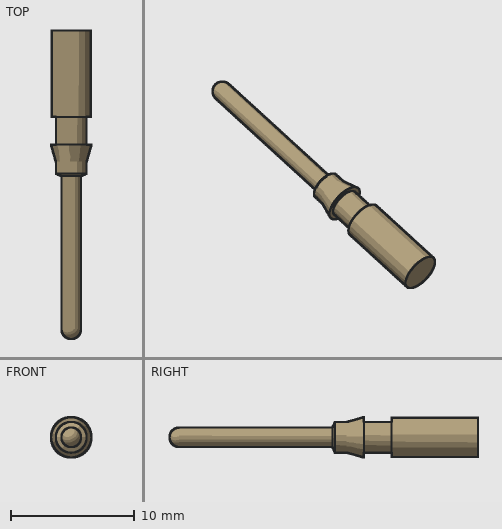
import cadquery as cq

total_length = 25.0

barrel_diameter = 3.2
neck_diameter = 2.5
collar_diameter = 3.3
pin_diameter = 1.6

barrel_length = 7.0
neck_length = 2.25
collar_taper_length = 1.4
shoulder_length = 1.15
nose_cone_length = 0.2

barrel_front = total_length - barrel_length
collar_back = barrel_front - neck_length
taper_front = collar_back - collar_taper_length
shoulder_front = taper_front - shoulder_length

barrel_radius = barrel_diameter / 2
neck_radius = neck_diameter / 2
collar_radius = collar_diameter / 2
pin_radius = pin_diameter / 2

arc_mid_x = pin_radius * 0.5**0.5
arc_mid_y = pin_radius - arc_mid_x

half_outline = (
    cq.Workplane("XY")
    .moveTo(0, 0)
    .threePointArc((arc_mid_x, arc_mid_y), (pin_radius, pin_radius))
    .lineTo(pin_radius, shoulder_front)
    .lineTo(neck_radius, shoulder_front + nose_cone_length)
    .lineTo(neck_radius, taper_front)
    .lineTo(collar_radius, collar_back)
    .lineTo(neck_radius, collar_back)
    .lineTo(neck_radius, barrel_front)
    .lineTo(barrel_radius, barrel_front)
    .lineTo(barrel_radius, total_length)
    .lineTo(0, total_length)
    .close()
)

result = half_outline.revolve(360, (0, 0, 0), (0, 1, 0))